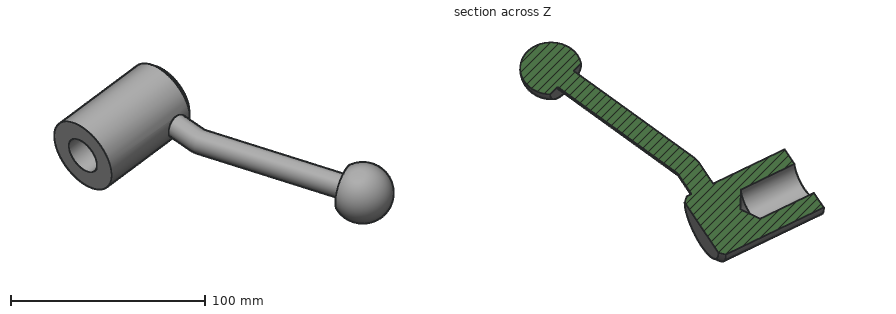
import cadquery as cq
import math

hub_diameter = 41.0
hub_length = 61.0
hub_chamfer = 2.9

bore_diameter = 20.0
bore_depth = 31.8
drill_point_angle = 118.0

arm_diameter = 13.0
arm_y = 48.9
bend_start_x = 35.5
bend_angle = 20.0
bend_radius = 3.0

ball_diameter = 32.0
ball_flat_offset = 10.0
overall_length = 159.2

hub_radius = hub_diameter / 2
ball_radius = ball_diameter / 2
ball_x = overall_length - hub_radius - ball_radius
bend_slope = math.radians(bend_angle)

pivot_y = arm_y + bend_radius
bend_end_x = bend_start_x + bend_radius * math.sin(bend_slope)
bend_end_y = pivot_y - bend_radius * math.cos(bend_slope)
outer_arm_length = (ball_x - bend_end_x) / math.cos(bend_slope)
ball_y = bend_end_y + outer_arm_length * math.sin(bend_slope)


def make_hub():
    cylinder = cq.Workplane("XZ").circle(hub_radius).extrude(-hub_length)
    return cylinder.faces(">Y").chamfer(hub_chamfer)


def make_bore():
    radius = bore_diameter / 2
    point_height = radius / math.tan(math.radians(drill_point_angle / 2))
    profile = (
        cq.Workplane("XY")
        .lineTo(radius, 0)
        .lineTo(radius, bore_depth)
        .lineTo(0, bore_depth + point_height)
        .close()
    )
    return profile.revolve(360, (0, 0), (0, 1))


def make_rod(length):
    return cq.Workplane("YZ").circle(arm_diameter / 2).extrude(length)


def make_bend():
    arm_radius = arm_diameter / 2
    half_chord = math.sqrt(arm_radius**2 - bend_radius**2)
    section = (
        cq.Workplane("YZ", origin=(bend_start_x, arm_y, 0))
        .moveTo(bend_radius, -half_chord)
        .threePointArc((-arm_radius, 0), (bend_radius, half_chord))
        .close()
    )
    return section.revolve(bend_angle, (bend_radius, 0), (bend_radius, 1))


def make_arm():
    inner_rod = make_rod(bend_start_x).translate((0, arm_y, 0))
    outer_rod = make_rod(outer_arm_length).rotate((0, 0, 0), (0, 0, 1), bend_angle)
    outer_rod = outer_rod.translate((bend_end_x, bend_end_y, 0))
    return inner_rod.union(make_bend()).union(outer_rod)


def make_ball():
    flat_radius = math.sqrt(ball_radius**2 - ball_flat_offset**2)
    profile = (
        cq.Workplane("XY")
        .moveTo(-ball_flat_offset, 0)
        .lineTo(-ball_flat_offset, flat_radius)
        .threePointArc((0, ball_radius), (ball_radius, 0))
        .close()
    )
    ball = profile.revolve(360, (0, 0), (1, 0))
    return ball.rotate((0, 0, 0), (0, 0, 1), bend_angle).translate((ball_x, ball_y, 0))


result = make_hub().union(make_arm()).union(make_ball()).cut(make_bore())